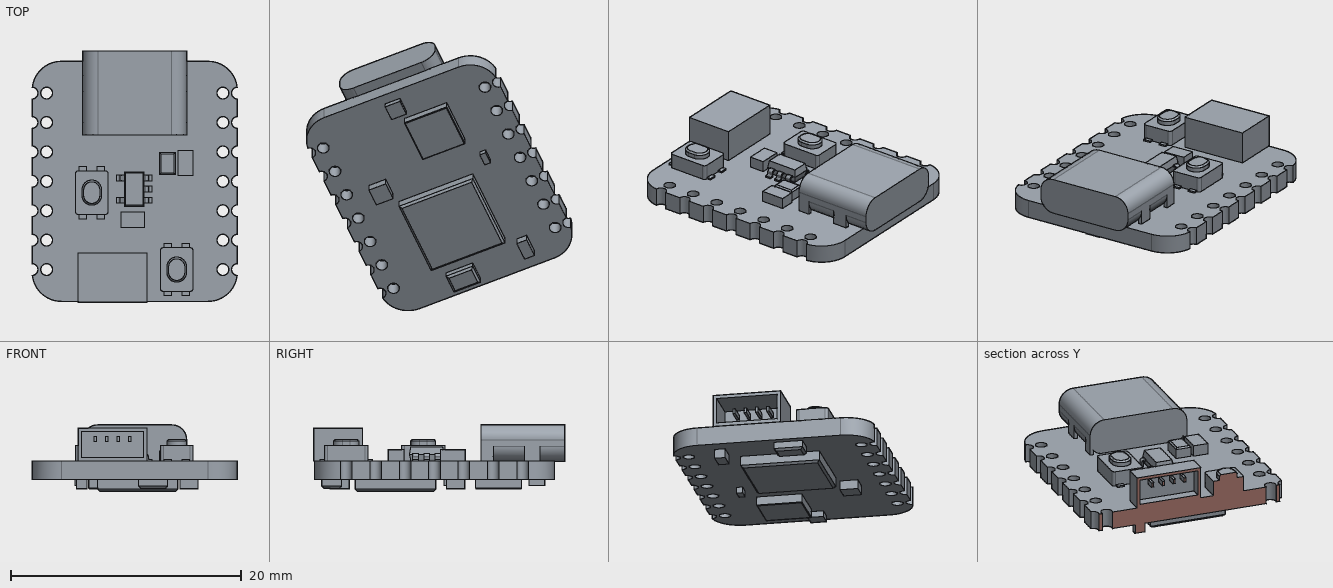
import cadquery as cq


board_width = 17.78
board_length = 20.8
board_thickness = 1.6
corner_radius = 2.55
hole_diameter = 1.0
hole_pitch = 2.55
holes_per_side = 7
hole_inset = 1.26

usb_width = 9.0
usb_length = 7.27
usb_overhang = 0.9
usb_top = 3.13
usb_bottom = -0.07
usb_radius = 1.3
usb_leg_height = 1.25
usb_leg_thickness = 0.3
usb_leg_gap = 2.7
usb_front_leg_length = 1.07
usb_middle_leg_length = 1.35

socket_width = 5.96
socket_height = 2.85
socket_length = 4.25
socket_overhang = 0.07
socket_x = -1.91
socket_wall = 0.3
socket_depth = 3.48
contact_count = 4
contact_pitch = 1.0
contact_width = 0.22
contact_height = 0.44
contact_length = 1.75
contact_z = 1.91

button_positions = [(-3.72, -0.98), (3.63, -7.64)]
button_width = 2.83
button_length = 3.79
button_height = 1.35
button_corner = 0.26
plunger_width = 1.7
plunger_length = 2.18
plunger_straight = 0.63
plunger_height = 0.52
plunger_chamfer = 0.15
button_leg_width = 0.65
button_leg_spacing = 1.59
button_leg_span = 4.53
button_leg_height = 0.13

regulator_x = -0.05
regulator_y = -0.67
regulator_width = 1.7
regulator_length = 2.98
regulator_draft = 0.1
regulator_bottom = 0.09
regulator_waist = 0.57
regulator_top = 1.22
regulator_leg_span = 3.05
regulator_leg_width = 0.5
regulator_leg_pitch = 0.95
regulator_leg_top = 0.63
regulator_leg_sheet = 0.13
regulator_foot_length = 0.3
regulator_bend = 0.25
regulator_foot_bend = 0.1
regulator_leg_root = 0.22

led = (2.83, 1.55, 1.37, 1.9, 0.98)
led_bevel = 0.13
top_chips = [
    (4.4, 1.59, 1.33, 2.15, 0.98),
    (-0.17, -3.33, 2.0, 1.37, 0.98),
]

processor = (0.26, -3.37, 6.96, 7.0, 1.02)
power_chip = (1.59, -8.9, 2.52, 1.75, 0.76)
package_bevel = 0.2
memory_chip = (-1.98, 5.55, 4.0, 4.0, 0.8)
memory_bevel = 0.07
bottom_chips = [
    (4.7, 1.83, 1.59, 1.6, 0.8),
    (-4.6, -8.2, 0.94, 1.7, 0.8),
    (-4.92, 1.35, 0.55, 1.09, 0.52),
    (0.26, 8.85, 1.4, 1.4, 0.52),
]

embed = 0.1


def block(x, y, size_x, size_y, z_low, z_high):
    """Box centred at (x, y) between two heights."""
    base = cq.Workplane("XY", origin=(x, y, z_low))
    return base.rect(size_x, size_y).extrude(z_high - z_low)


def make_board():
    board = block(0, 0, board_width, board_length, -board_thickness, 0).edges("|Z").fillet(corner_radius)
    half_width = board_width / 2
    first_y = -hole_pitch * (holes_per_side - 1) / 2
    points = []
    for row in range(holes_per_side):
        y = first_y + row * hole_pitch
        for side in (-1, 1):
            points.append((side * half_width, y))
            points.append((side * (half_width - hole_inset), y))
    drills = cq.Workplane("XY").pushPoints(points).circle(hole_diameter / 2).extrude(-board_thickness)
    return board.cut(drills)


def make_usb():
    rear_y = board_length / 2 + usb_overhang
    front_y = rear_y - usb_length
    shell = block(0, (rear_y + front_y) / 2, usb_width, usb_length, usb_bottom, usb_top)
    shell = shell.edges("|Y").fillet(usb_radius)

    front_leg_y = front_y + usb_front_leg_length / 2
    middle_leg_y = front_y + usb_front_leg_length + usb_leg_gap + usb_middle_leg_length / 2
    leg_x = (usb_width - usb_leg_thickness) / 2
    for side in (-1, 1):
        for y, length in ((front_leg_y, usb_front_leg_length), (middle_leg_y, usb_middle_leg_length)):
            shell = shell.union(block(side * leg_x, y, usb_leg_thickness, length, -embed, usb_leg_height))
    return shell


def make_socket():
    mouth_y = -board_length / 2 - socket_overhang
    body = block(socket_x, mouth_y + socket_length / 2, socket_width, socket_length, 0, socket_height)
    body = body.cut(block(
        socket_x, mouth_y + socket_depth / 2,
        socket_width - 2 * socket_wall, socket_depth,
        socket_wall, socket_height - socket_wall,
    ))
    root = block(
        socket_x, -board_length / 2 + socket_length / 2,
        socket_width, socket_length - 2 * socket_overhang, -embed, 0,
    )
    body = body.union(root)
    contact_y = mouth_y + socket_depth - contact_length / 2 + embed / 2
    for index in range(contact_count):
        x = socket_x + (index - (contact_count - 1) / 2) * contact_pitch
        body = body.union(block(
            x, contact_y, contact_width, contact_length + embed,
            contact_z - contact_height / 2, contact_z + contact_height / 2,
        ))
    return body


def make_button(x, y):
    body = block(x, y, button_width, button_length, -embed, button_height).edges("|Z").fillet(button_corner)
    half_width = plunger_width / 2
    half_length = plunger_length / 2
    half_straight = plunger_straight / 2
    plunger = (
        cq.Workplane("XY", origin=(x, y, button_height - embed))
        .moveTo(half_width, -half_straight)
        .lineTo(half_width, half_straight)
        .threePointArc((0, half_length), (-half_width, half_straight))
        .lineTo(-half_width, -half_straight)
        .threePointArc((0, -half_length), (half_width, -half_straight))
        .close()
        .extrude(plunger_height + embed)
        .faces(">Z")
        .chamfer(plunger_chamfer)
    )
    body = body.union(plunger)
    for side in (-1, 1):
        leg_x = x + side * button_leg_spacing / 2
        body = body.union(block(leg_x, y, button_leg_width, button_leg_span, -embed, button_leg_height))
    return body


def regulator_leg(side, y):
    """Sheet leg that leaves the body sideways, bends down and ends in a flat foot."""
    tip = regulator_leg_span / 2
    riser_outer = tip - regulator_foot_length
    riser_inner = riser_outer - regulator_leg_sheet
    root = regulator_width / 2 - regulator_leg_root
    outline = [
        (root, regulator_leg_top),
        (riser_outer, regulator_leg_top),
        (riser_outer, regulator_leg_sheet),
        (tip, regulator_leg_sheet),
        (tip, -embed),
        (riser_inner, -embed),
        (riser_inner, regulator_leg_top - regulator_leg_sheet),
        (root, regulator_leg_top - regulator_leg_sheet),
    ]
    leg = (
        cq.Workplane("XZ", origin=(0, regulator_leg_width / 2, 0))
        .polyline(outline)
        .close()
        .extrude(regulator_leg_width)
    )
    bend_corners = [
        (riser_outer, regulator_leg_top, regulator_bend),
        (riser_outer, regulator_leg_sheet, regulator_foot_bend),
        (riser_inner, regulator_leg_top - regulator_leg_sheet, regulator_bend - regulator_leg_sheet),
    ]
    for x, z, radius in bend_corners:
        leg = leg.edges(cq.selectors.NearestToPointSelector((x, 0, z))).fillet(radius)
    if side < 0:
        leg = leg.mirror("YZ")
    return leg.translate((regulator_x, y, 0))


def make_regulator():
    waist = cq.Workplane("XY", origin=(regulator_x, regulator_y, regulator_waist))
    narrow_width = regulator_width - 2 * regulator_draft
    narrow_length = regulator_length - 2 * regulator_draft
    body = block(regulator_x, regulator_y, narrow_width, narrow_length, -embed, regulator_bottom)
    for end in (regulator_bottom, regulator_top):
        half = (
            waist.rect(regulator_width, regulator_length)
            .workplane(offset=end - regulator_waist)
            .rect(narrow_width, narrow_length)
            .loft(ruled=True)
        )
        body = body.union(half)
    for side, rows in ((-1, (-1, 1)), (1, (-1, 0, 1))):
        for row in rows:
            body = body.union(regulator_leg(side, regulator_y + row * regulator_leg_pitch))
    return body


def top_chip(x, y, size_x, size_y, height):
    return block(x, y, size_x, size_y, -embed, height)


def bottom_chip(x, y, size_x, size_y, depth):
    return block(x, y, size_x, size_y, -board_thickness - depth, -board_thickness + embed)


parts = [make_usb(), make_socket(), make_regulator()]
parts += [make_button(x, y) for x, y in button_positions]
parts.append(top_chip(*led).faces(">Z").chamfer(led_bevel))
parts += [top_chip(*chip) for chip in top_chips]
parts.append(bottom_chip(*processor).faces("<Z").chamfer(package_bevel))
parts.append(bottom_chip(*power_chip).faces("<Z").chamfer(package_bevel))
parts.append(bottom_chip(*memory_chip).faces("<Z").chamfer(memory_bevel))
parts += [bottom_chip(*chip) for chip in bottom_chips]

result = make_board()
for part in parts:
    result = result.union(part)